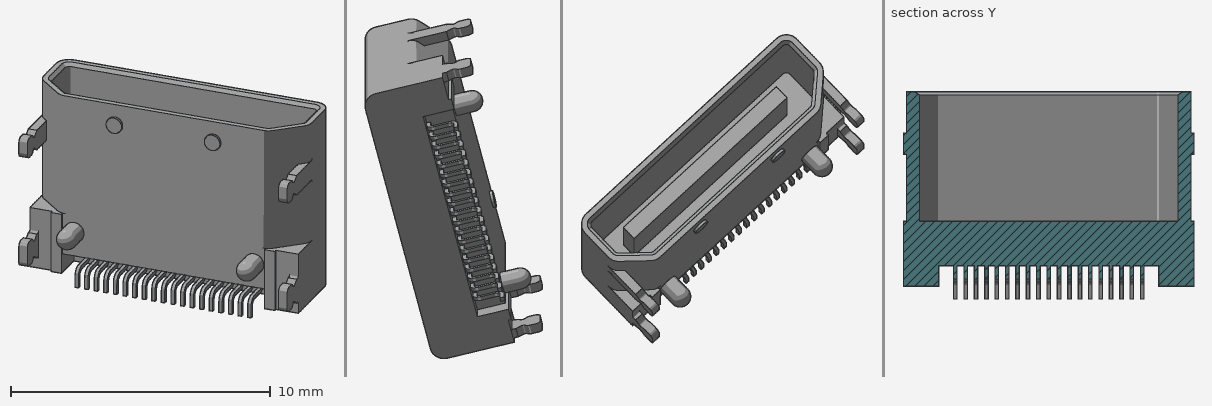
import cadquery as cq
import math


width = 11.2
depth = 3.2
height = 7.5
wall = 0.36
outer_radius = 0.55
bevel_width = 1.25
bevel_depth = 1.13
rim_chamfer = 0.13
floor_height = 2.51

tongue_width = 8.11
tongue_thickness = 0.6
tongue_back_gap = 1.04
tongue_top = 5.49

stand_off = 0.11
pad_inner_x = 4.23
pad_width = 0.44
foot_inner_x = 2.91
recess_height = 0.78
recess_depth = 1.12

peg_diameter = 0.82
peg_x = 3.75
peg_z = 1.79
bump_diameter = 0.65
bump_x = 2.05
bump_z = 6.65

leg_reach = 1.12
leg_root_radius = 0.07
leg_tip_radius = 0.21
lower_leg_heel_radius = 0.17
neck_start = 0.16
neck_centre = 0.45
neck_end = 0.63
neck_depth = 0.21
neck_radius = 0.1
shoulder_radius = 0.16
upper_leg_bottom = 5.08
upper_leg_top = 5.91
lower_leg_bottom = 0.49
lower_leg_top = 1.51

lead_count = 19
lead_row_length = 7.2
lead_width = 0.15
lead_thickness = 0.16
lead_top = 0.32
lead_tip = -0.49
lead_bend_radius = 0.36
lead_root_radius = 0.15

half = width / 2
side_turn = math.atan2(bevel_width, bevel_depth)
upper_leg_root_y = bevel_depth + outer_radius * math.tan(side_turn / 2)
lower_leg_root_y = 0.0
lead_pitch = lead_row_length / (lead_count - 1)
leg_anchor_y = depth / 2
diagonal = math.sqrt(0.5)


def box(x0, x1, y0, y1, z0, z1):
    """Box between two opposite corners."""
    return cq.Workplane("XY").box(x1 - x0, y1 - y0, z1 - z0, centered=False).translate((x0, y0, z0))


def both_sides(shape):
    """Shape together with its mirror image about X = 0."""
    return shape.union(shape.mirror("YZ"))


def shell_prism(inset, z0, z1):
    """Rounded shell outline, moved inward by inset, extruded from z0 to z1."""
    bevel_length = math.hypot(bevel_width, bevel_depth)
    side_shift = inset * (bevel_length - bevel_depth) / bevel_width
    front_shift = inset * (bevel_length - bevel_width) / bevel_depth
    side = half - inset
    corner_y = bevel_depth + side_shift
    corner_x = half - bevel_width - front_shift
    points = [
        (side, depth - inset),
        (side, corner_y),
        (corner_x, inset),
        (-corner_x, inset),
        (-side, corner_y),
        (-side, depth - inset),
    ]
    prism = cq.Workplane("XY", origin=(0, 0, z0)).polyline(points).close().extrude(z1 - z0)
    return prism.edges("|Z").fillet(outer_radius - inset)


def foot_block():
    """Block that fills the corner under the bevel, with its stand-off pad."""
    block = box(-half, -foot_inner_x, 0, leg_anchor_y, 0, floor_height)
    pad = box(-pad_inner_x - pad_width, -pad_inner_x, -stand_off, leg_anchor_y, 0, floor_height)
    return block.union(pad)


def side_leg(bottom, top, root_y, heel_radius):
    """Leg in the plane of the side plate, with a neck, a rounded tip and flared root corners."""
    flare = leg_root_radius
    slack = 0.01
    leg = (
        cq.Workplane("YZ", origin=(-half, 0, 0))
        .moveTo(root_y, bottom - flare)
        .radiusArc((root_y - flare, bottom), -flare)
        .lineTo(-neck_start, bottom)
        .lineTo(-neck_centre, bottom + neck_depth)
        .lineTo(-neck_end, bottom)
        .lineTo(-leg_reach, bottom)
        .lineTo(-leg_reach, top)
        .lineTo(-neck_end, top)
        .lineTo(-neck_centre, top - neck_depth)
        .lineTo(-neck_start, top)
        .lineTo(root_y - flare, top)
        .radiusArc((root_y, top + flare), -flare)
        .lineTo(leg_anchor_y, top + flare)
        .lineTo(leg_anchor_y, bottom - flare)
        .close()
        .extrude(wall)
    )
    for corner_y, radius in ((-neck_centre, neck_radius), (-neck_end, shoulder_radius)):
        corners = cq.selectors.BoxSelector(
            (-half, corner_y - slack, bottom - slack), (-half + wall, corner_y + slack, top + slack)
        )
        leg = leg.edges("|X").edges(corners).fillet(radius)
    leg = leg.faces("<Y").edges(">Z").fillet(leg_tip_radius)
    return leg.faces("<Y").edges("<Z").fillet(heel_radius)


def lead():
    """Lead that drops down the recess wall, runs forward and bends down."""
    inner_bend = lead_bend_radius - lead_thickness
    outer_root = lead_root_radius + lead_thickness
    run_bottom = lead_top - lead_thickness
    front = -stand_off
    wall_y = recess_depth
    bend_y = front + lead_bend_radius
    bend_z = lead_top - lead_bend_radius
    root_y = wall_y - outer_root
    root_z = lead_top + lead_root_radius
    return (
        cq.Workplane("YZ")
        .moveTo(front, lead_tip)
        .lineTo(front, bend_z)
        .threePointArc(
            (bend_y - diagonal * lead_bend_radius, bend_z + diagonal * lead_bend_radius),
            (bend_y, lead_top),
        )
        .lineTo(root_y, lead_top)
        .threePointArc(
            (root_y + diagonal * lead_root_radius, root_z - diagonal * lead_root_radius),
            (root_y + lead_root_radius, root_z),
        )
        .lineTo(root_y + lead_root_radius, recess_height)
        .lineTo(wall_y, recess_height)
        .lineTo(wall_y, root_z)
        .threePointArc(
            (root_y + diagonal * outer_root, root_z - diagonal * outer_root),
            (root_y, run_bottom),
        )
        .lineTo(bend_y, run_bottom)
        .threePointArc(
            (bend_y - diagonal * inner_bend, bend_z + diagonal * inner_bend),
            (front + lead_thickness, bend_z),
        )
        .lineTo(front + lead_thickness, lead_tip)
        .close()
        .extrude(lead_width / 2, both=True)
    )


def peg():
    """Locating peg with a hemispherical end."""
    radius = peg_diameter / 2
    dome_y = radius - leg_reach
    rod = cq.Workplane("XZ", origin=(-peg_x, 0, peg_z)).circle(radius).extrude(-dome_y)
    dome = cq.Workplane("XY", origin=(-peg_x, dome_y, peg_z)).sphere(radius)
    return rod.union(dome)


def housing():
    """Shell and foot blocks with the cavity, its chamfered mouth, the tongue and the lead recess."""
    body = shell_prism(0, 0, height)
    body = body.union(both_sides(foot_block()))
    body = body.cut(shell_prism(wall, floor_height, height))
    top = body.faces(">Z")
    mouth = top.newObject(top.val().innerWires())
    body = mouth.edges().chamfer(rim_chamfer)
    tongue_back = depth - tongue_back_gap
    tongue = box(
        -tongue_width / 2, tongue_width / 2,
        tongue_back - tongue_thickness, tongue_back,
        floor_height, tongue_top,
    )
    recess = box(-pad_inner_x, pad_inner_x, -stand_off, recess_depth, 0, recess_height)
    return body.union(tongue).cut(recess)


def left_features():
    """Legs, peg and bump on the -X side."""
    upper_leg = side_leg(upper_leg_bottom, upper_leg_top, upper_leg_root_y, leg_tip_radius)
    lower_leg = side_leg(lower_leg_bottom, lower_leg_top, lower_leg_root_y, lower_leg_heel_radius)
    bump = cq.Workplane("XZ", origin=(-bump_x, 0, bump_z)).circle(bump_diameter / 2).extrude(stand_off)
    return upper_leg.union(lower_leg).union(peg()).union(bump)


result = housing().union(both_sides(left_features()))

single_lead = lead()
for index in range(lead_count):
    x = (index - (lead_count - 1) / 2) * lead_pitch
    result = result.union(single_lead.translate((x, 0, 0)))